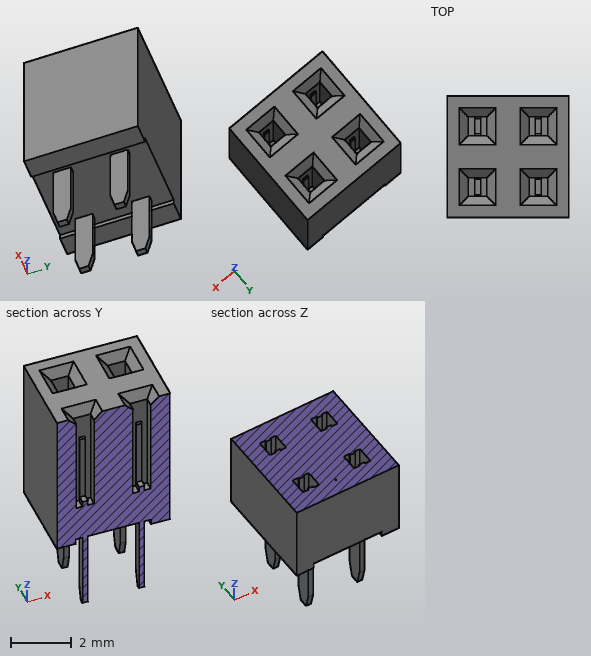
import cadquery as cq

total_height = 8.3
body_side = 4.0
body_height = 5.6
body_bottom = total_height - body_height

contact_pitch = body_side / 2

foot_width = 0.67
foot_height = 0.2
channel_width = body_side - 2 * foot_width
channel_ceiling = body_bottom + foot_height

mouth_side = 1.2
socket_side = 0.615
socket_depth = 4.0
funnel_depth = (mouth_side - socket_side) / 2
socket_floor = total_height - socket_depth

contact_thickness = 0.2
leg_width = socket_side
leg_tip_width = 0.33
leg_taper_height = 0.59
fork_gap = 0.51
fork_base_height = 0.2
fork_tip_depth = 1.2
fork_lead_in = (socket_side - fork_gap) / 2
fork_top = total_height - fork_tip_depth


def make_body():
    body = cq.Workplane("XY").box(body_side, body_side, body_height, centered=(True, True, False))
    channel = cq.Workplane("XY").box(channel_width, body_side, foot_height, centered=(True, True, False))
    return body.cut(channel).translate((0, 0, body_bottom))


def make_socket():
    shaft = (
        cq.Workplane("XY")
        .box(socket_side, socket_side, socket_depth, centered=(True, True, False))
        .translate((0, 0, socket_floor))
    )
    funnel = (
        cq.Workplane("XY", origin=(0, 0, total_height))
        .rect(mouth_side, mouth_side)
        .workplane(offset=-funnel_depth)
        .rect(socket_side, socket_side)
        .loft(ruled=True)
    )
    return shaft.union(funnel)


def extrude_contact(outline):
    """Extrude a closed (Y, Z) outline to the contact thickness, centred in X."""
    return cq.Workplane("YZ").polyline(outline).close().extrude(contact_thickness / 2, both=True)


def make_fork():
    """U shape that fits between the socket walls, with 45 degree lead-ins on its arms."""
    wall = socket_side / 2
    arm = fork_gap / 2
    crotch = socket_floor + fork_base_height
    return extrude_contact([
        (-wall, socket_floor),
        (wall, socket_floor),
        (wall, fork_top),
        (arm, fork_top - fork_lead_in),
        (arm, crotch),
        (-arm, crotch),
        (-arm, fork_top - fork_lead_in),
        (-wall, fork_top),
    ])


def make_leg():
    """Straight leg from the channel ceiling, narrowing to a blunt tip."""
    side = leg_width / 2
    tip = leg_tip_width / 2
    return extrude_contact([
        (-tip, 0),
        (tip, 0),
        (side, leg_taper_height),
        (side, channel_ceiling),
        (-side, channel_ceiling),
        (-side, leg_taper_height),
    ])


result = make_body()
socket = make_socket()
fork = make_fork()
leg = make_leg()

for x in (-contact_pitch / 2, contact_pitch / 2):
    for y in (-contact_pitch / 2, contact_pitch / 2):
        position = (x, y, 0)
        result = result.cut(socket.translate(position))
        result = result.union(fork.translate(position))
        result = result.union(leg.translate(position))